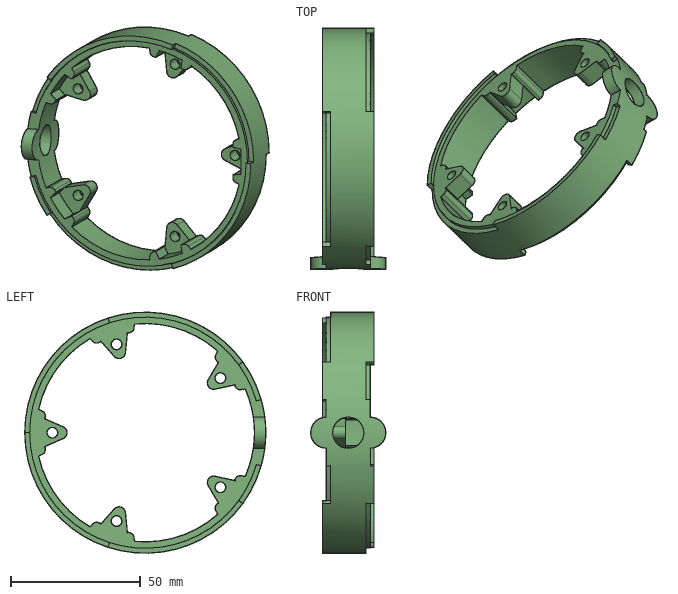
import cadquery as cq
import math

outer_radius = 46.5
inner_radius = 42.0
ring_width = 17.0
rim_thickness = 1.95
lip_height = 1.5
recess_depth = 1.7
wall_overlap = 0.7
cut_margin = 0.9

lug_count = 5
lug_pitch = 360 / lug_count
first_lug_angle = lug_pitch / 2
plain_half_angle = 16

flange_length = 29.0
flange_hole_diameter = 12.0

lug_thickness = 7.5
lug_tip_radius = 30.1
lug_tip_rounding = 2.5
lug_flank_angle = 23.5
lug_hole_diameter = 4.0
lug_hole_radius = 35.8

ridge_crest_radius = 38.5
ridge_crest_start = 5.5
ridge_crest_end = 7.8
ridge_inner_angle = 9.5
ridge_outer_angle = 25.5
ridge_rounding = 1.95

half_ring = ring_width / 2
rim_radius = outer_radius - rim_thickness
blank_radius = outer_radius + cut_margin
root_radius = inner_radius + wall_overlap
axis_start = (0, 0, 0)
axis_end = (-1, 0, 0)


def yz_plane(x):
    return cq.Workplane("YZ", origin=(x, 0, 0))


def turned(shape, angle):
    return shape.rotate(axis_start, axis_end, angle)


def rim_sector(x_from, x_to, start_angle, end_angle):
    """Oversize part of the stepped rim between two angles."""
    sector = (
        cq.Workplane("XY")
        .moveTo(x_from, -rim_radius)
        .lineTo(x_to, -rim_radius)
        .lineTo(x_to, -blank_radius)
        .lineTo(x_from, -blank_radius)
        .close()
        .revolve(end_angle - start_angle, axis_start, axis_end)
    )
    return turned(sector, start_angle)


def make_stepped_blank():
    """Core disc and oversize rim, whose sectors have a lip and a recess on alternate sides."""
    core = yz_plane(-half_ring).circle(rim_radius).extrude(ring_width)
    blank = core.union(rim_sector(-half_ring, half_ring, -plain_half_angle, plain_half_angle))
    lip_end = half_ring + lip_height
    recess_end = half_ring - recess_depth
    bounds = [plain_half_angle]
    bounds += [first_lug_angle + i * lug_pitch for i in range(lug_count)]
    bounds += [360 - plain_half_angle]
    for i in range(len(bounds) - 1):
        if i % 2 == 0:
            sector = rim_sector(-lip_end, recess_end, bounds[i], bounds[i + 1])
        else:
            sector = rim_sector(-recess_end, lip_end, bounds[i], bounds[i + 1])
        blank = blank.union(sector)
    return blank


def make_flange_blank():
    return cq.Workplane("XZ").slot2D(flange_length, flange_hole_diameter).extrude(blank_radius)


def make_wall():
    """Cylindrical wall that reaches past both flange ears."""
    return (
        yz_plane(-flange_length)
        .circle(outer_radius)
        .circle(inner_radius)
        .extrude(2 * flange_length)
    )


def make_flange_hole():
    return cq.Workplane("XZ").circle(flange_hole_diameter / 2).extrude(blank_radius)


def make_lug():
    """Rounded triangle pointing from the wall at -Y to the axis."""
    flank = math.radians(lug_flank_angle)
    rounding_centre = lug_tip_radius + lug_tip_rounding
    tangent_radius = rounding_centre - lug_tip_rounding * math.sin(flank)
    tangent_offset = lug_tip_rounding * math.cos(flank)
    root_offset = tangent_offset + (root_radius - tangent_radius) * math.tan(flank)
    return (
        yz_plane(-half_ring)
        .moveTo(-root_radius, -root_offset)
        .lineTo(-tangent_radius, -tangent_offset)
        .threePointArc((-lug_tip_radius, 0), (-tangent_radius, tangent_offset))
        .lineTo(-root_radius, root_offset)
        .close()
        .extrude(lug_thickness)
    )


def make_ridge():
    """Ridge on the +Z side of the lug at -Y, rounded along its outer crest edge."""
    rise = root_radius - ridge_crest_radius
    inner_root = ridge_crest_start - rise * math.tan(math.radians(ridge_inner_angle))
    outer_root = ridge_crest_end + rise * math.tan(math.radians(ridge_outer_angle))
    crest_corner = (0, -ridge_crest_radius, ridge_crest_end)
    return (
        yz_plane(-half_ring)
        .moveTo(-root_radius, inner_root)
        .lineTo(-ridge_crest_radius, ridge_crest_start)
        .lineTo(-ridge_crest_radius, ridge_crest_end)
        .lineTo(-root_radius, outer_root)
        .close()
        .extrude(ring_width)
        .edges(cq.selectors.NearestToPointSelector(crest_corner))
        .fillet(ridge_rounding)
    )


def make_lug_hole():
    return (
        yz_plane(-half_ring - cut_margin)
        .center(-lug_hole_radius, 0)
        .circle(lug_hole_diameter / 2)
        .extrude(lug_thickness + 2 * cut_margin)
    )


result = make_stepped_blank().union(make_flange_blank()).intersect(make_wall()).cut(make_flange_hole())

ridge = make_ridge()
lug = make_lug().union(ridge).union(ridge.mirror("XY")).cut(make_lug_hole())
for i in range(lug_count):
    result = result.union(turned(lug, first_lug_angle + i * lug_pitch))
result = result.clean()